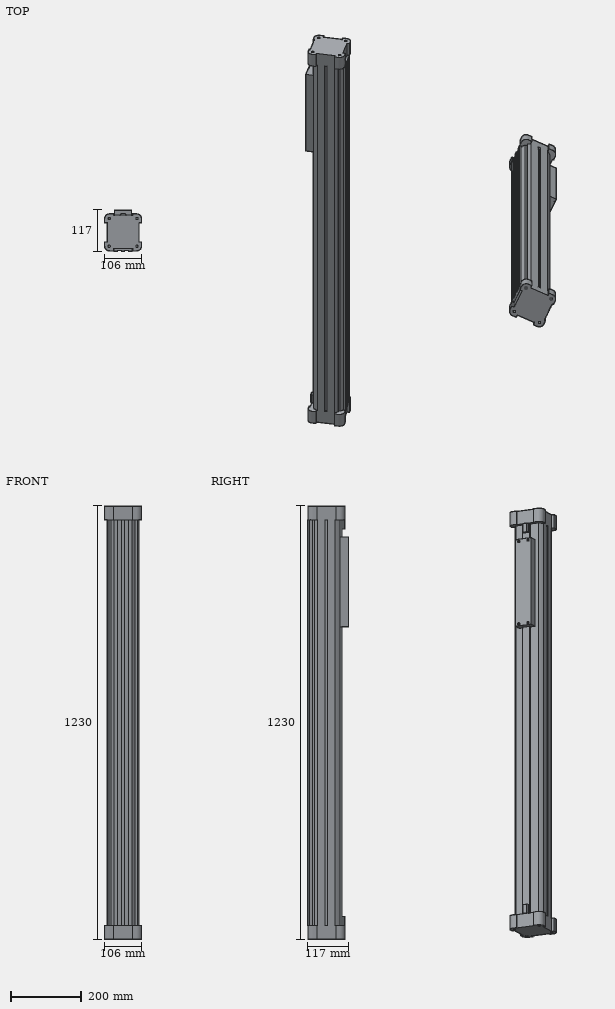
import cadquery as cq


length = 1230.0
overall_depth = 117.0
block_width = 106.0

block_height = 39.0
corner_radius = 15.0
recess_half_width = 27.0
recess_depth = 7.0
band_recess_depth = 4.0
screw_diameter = 6.6
screw_depth = 25.0
screw_offset = 39.0

flat_upper_y = 25.0
flat_lower_y = -26.0
shoulder_x = 36.0
shoulder_y = 38.0
shoulder_radius = 49.0
ledge_outer_x = 40.0
ledge_y = -35.0
ledge_inner_x = 35.0
chamfer_start_y = -39.0
foot_half_width = 26.0
foot_slot_outer = 16.0
foot_slot_inner = 4.3
foot_slot_floor = -52.0
foot_overhang = 0.9
side_groove_width = 7.0
side_groove_depth = 6.0

band_half_width = 11.0
band_thickness = 6.0
clamp_length = 26.0
clamp_tip_half_width = 5.5
clamp_chamfer = 3.1

carriage_half_width = 25.0
carriage_length = 256.0
carriage_centre_z = 400.0
mount_diameter = 6.0
mount_depth = 2.0
mount_offset_x = 15.0
mount_end_distance = 6.0

block_half = block_width / 2
flat_x = block_half - recess_depth
foot_y = -block_half - foot_overhang
carriage_top_y = foot_y + overall_depth
profile_length = length - 2 * block_height
profile_end_z = profile_length / 2
chamfer_end_y = chamfer_start_y - (ledge_inner_x - foot_half_width)
band_top_y = shoulder_y + band_thickness


def box_between(x_range, y_range, z_range):
    """Box that spans the given (low, high) ranges."""
    lows, highs = zip(x_range, y_range, z_range)
    sizes = [high - low for low, high in zip(lows, highs)]
    return cq.Workplane("XY").box(*sizes, centered=False).translate(lows)


def make_end_block():
    """Top end block: a rounded square, recessed on each side, with a blind screw hole in each corner."""
    block = (
        cq.Workplane("XY", origin=(0, 0, profile_end_z))
        .rect(block_width, block_width)
        .extrude(block_height)
        .edges("|Z")
        .fillet(corner_radius)
    )
    along = (-recess_half_width, recess_half_width)
    height = (profile_end_z, length / 2)
    for side in (-1, 1):
        wall_range = sorted((side * flat_x, side * block_half))
        block = block.cut(box_between(wall_range, along, height))
    block = block.cut(box_between(along, (-block_half, -flat_x), height))
    block = block.cut(box_between(along, (block_half - band_recess_depth, block_half), height))
    screws = (
        cq.Workplane("XY", origin=(0, 0, length / 2))
        .rect(2 * screw_offset, 2 * screw_offset, forConstruction=True)
        .vertices()
        .circle(screw_diameter / 2)
        .extrude(-screw_depth)
    )
    return block.cut(screws)


def make_profile():
    """Extruded tube body with rounded +Y shoulders and two slotted feet on the -Y side."""
    outline = (
        cq.Workplane("XY", origin=(0, 0, -profile_end_z))
        .moveTo(-shoulder_x, shoulder_y)
        .lineTo(shoulder_x, shoulder_y)
        .radiusArc((flat_x, flat_upper_y), shoulder_radius)
        .lineTo(flat_x, flat_lower_y)
        .lineTo(ledge_outer_x, ledge_y)
        .lineTo(ledge_inner_x, ledge_y)
        .lineTo(ledge_inner_x, chamfer_start_y)
        .lineTo(foot_half_width, chamfer_end_y)
        .lineTo(foot_half_width, foot_y)
        .lineTo(-foot_half_width, foot_y)
        .lineTo(-foot_half_width, chamfer_end_y)
        .lineTo(-ledge_inner_x, chamfer_start_y)
        .lineTo(-ledge_inner_x, ledge_y)
        .lineTo(-ledge_outer_x, ledge_y)
        .lineTo(-flat_x, flat_lower_y)
        .lineTo(-flat_x, flat_upper_y)
        .radiusArc((-shoulder_x, shoulder_y), shoulder_radius)
        .close()
    )
    profile = outline.extrude(profile_length)
    z_range = (-profile_end_z, profile_end_z)
    for side in (-1, 1):
        slot_range = sorted((side * foot_slot_inner, side * foot_slot_outer))
        profile = profile.cut(box_between(slot_range, (foot_y, foot_slot_floor), z_range))
        groove_range = sorted((side * (flat_x - side_groove_depth), side * flat_x))
        groove_width_range = (-side_groove_width / 2, side_groove_width / 2)
        profile = profile.cut(box_between(groove_range, groove_width_range, z_range))
    return profile


def make_clamp():
    """Bevelled block over the band, joined to the underside of the top end block."""
    side_x = clamp_tip_half_width + clamp_chamfer
    bevel_y = block_half - clamp_chamfer
    return (
        cq.Workplane("XY", origin=(0, 0, profile_end_z))
        .polyline(
            [
                (-side_x, band_top_y),
                (side_x, band_top_y),
                (side_x, bevel_y),
                (clamp_tip_half_width, block_half),
                (-clamp_tip_half_width, block_half),
                (-side_x, bevel_y),
            ]
        )
        .close()
        .extrude(-clamp_length)
    )


def make_housing():
    """Profile, end blocks and band clamps in one piece."""
    top_end = make_end_block().union(make_clamp())
    bottom_end = top_end.mirror("XY")
    return make_profile().union(top_end).union(bottom_end).clean()


def make_band():
    """Flat strip on the profile, from one end block to the other."""
    return box_between(
        (-band_half_width, band_half_width),
        (shoulder_y, band_top_y),
        (-profile_end_z, profile_end_z),
    )


def make_carriage():
    """Block that sits on the profile and straddles the band, with four mounting holes on top."""
    half_length = carriage_length / 2
    z_range = (carriage_centre_z - half_length, carriage_centre_z + half_length)
    carriage = box_between(
        (-carriage_half_width, carriage_half_width), (shoulder_y, carriage_top_y), z_range
    )
    mount_spacing_z = carriage_length - 2 * mount_end_distance
    mounts = (
        cq.Workplane("XZ", origin=(0, carriage_top_y, carriage_centre_z))
        .rect(2 * mount_offset_x, mount_spacing_z, forConstruction=True)
        .vertices()
        .circle(mount_diameter / 2)
        .extrude(mount_depth)
    )
    return carriage.cut(mounts).cut(make_band())


housing = make_housing()
band = make_band()
carriage = make_carriage()

result = cq.Compound.makeCompound([housing.val(), band.val(), carriage.val()])